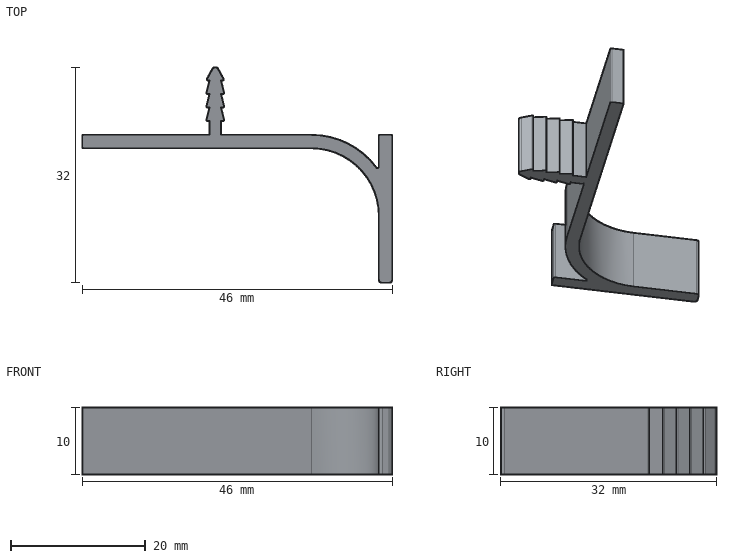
import cadquery as cq
import math

length = 46.0
height = 10.0
wall = 2.02
leg_length = 22.0
bend_radius = 10.0
leg_end_fillet = 0.5
small_fillet = 0.2

stem_x = 19.75
stem_length = 10.05
stem_half_width = 0.87
barb_half_width = 1.4
barb_pitch = 2.0
barb_count = 4
tip_radius = 0.5

outer_radius = bend_radius + wall
bend_x = length - outer_radius
bend_y = -outer_radius
leg_inner_x = length - wall


def arc_point(radius, angle):
    """Point on the bend at an angle measured from +X."""
    a = math.radians(angle)
    return (bend_x + radius * math.cos(a), bend_y + radius * math.sin(a))


def make_bracket():
    """Plate curving into the leg, which also runs back up past the bend."""
    bent_strip = (
        cq.Workplane("XY")
        .moveTo(0, 0)
        .lineTo(bend_x, 0)
        .threePointArc(arc_point(outer_radius, 45), arc_point(outer_radius, 0))
        .lineTo(leg_inner_x, bend_y)
        .threePointArc(arc_point(bend_radius, 45), arc_point(bend_radius, 90))
        .lineTo(0, -wall)
        .close()
        .extrude(height)
        .edges("|Z and <X")
        .fillet(small_fillet)
    )
    leg = (
        cq.Workplane("XY")
        .moveTo(leg_inner_x, -leg_length)
        .rect(wall, leg_length, centered=False)
        .extrude(height)
        .edges("|Z and <Y")
        .fillet(leg_end_fillet)
        .edges("|Z and >Y")
        .fillet(small_fillet)
    )
    notch_y = bend_y + math.sqrt(outer_radius**2 - bend_radius**2)
    notch_edge = cq.NearestToPointSelector((leg_inner_x, notch_y, height / 2))
    return bent_strip.union(leg).edges(notch_edge).fillet(small_fillet)


def make_stem():
    """Stem with a pointed, rounded tip and evenly spaced barbs."""
    side = [(stem_half_width, -wall / 2)]
    for index in range(barb_count, 0, -1):
        underside_y = stem_length - index * barb_pitch
        side.append((stem_half_width, underside_y))
        side.append((barb_half_width, underside_y))
    mirrored = [(-x, y) for x, y in reversed(side)]

    flank_x, flank_y = side[-1]
    tip_y = stem_length - tip_radius
    drop = tip_y - flank_y
    tangent_angle = math.acos(tip_radius / math.hypot(flank_x, drop)) - math.atan2(drop, flank_x)
    tangent_x = tip_radius * math.cos(tangent_angle)
    tangent_y = tip_y + tip_radius * math.sin(tangent_angle)

    return (
        cq.Workplane("XY")
        .polyline(side + [(tangent_x, tangent_y)])
        .threePointArc((0, stem_length), (-tangent_x, tangent_y))
        .polyline(mirrored, includeCurrent=True)
        .close()
        .extrude(height)
        .edges("|Z")
        .filter(lambda edge: abs(edge.Center().x) > (stem_half_width + barb_half_width) / 2)
        .fillet(small_fillet)
        .translate((stem_x, 0, 0))
    )


result = make_bracket().union(make_stem())